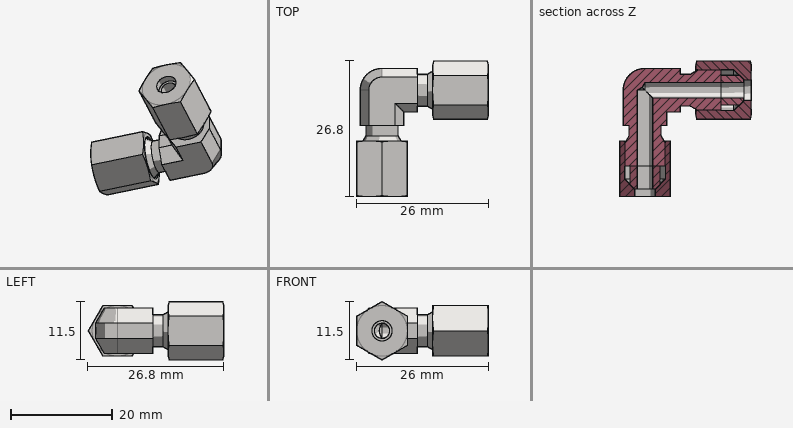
import cadquery as cq
import math


block_width = 8.66
block_height = 9.0
side_flat_height = 3.0
bevel_angle = 30.0
block_reach = 7.0

neck_diameter = 6.4
neck_end = 9.0
thread_diameter = 8.0
neck_cone_angle = 30.0
stub_end = 15.0
flow_bore_diameter = 3.0
drill_point_angle = 120.0

nut_start = 10.0
nut_length = 11.0
nut_across_flats = 10.0
nut_corner_angle = 15.0
nut_mouth_diameter = 8.5
nut_mouth_angle = 120.0
tube_hole_diameter = 4.0
tube_hole_depth = 1.5
nut_seat_angle = 45.0

ring_diameter = 6.0

nut_end = nut_start + nut_length
ring_end = nut_end - tube_hole_depth
thread_radius = thread_diameter / 2
nut_mouth_radius = nut_mouth_diameter / 2
neck_radius = neck_diameter / 2
flow_bore_radius = flow_bore_diameter / 2
tube_hole_radius = tube_hole_diameter / 2
ring_radius = ring_diameter / 2


def tan_deg(angle):
    return math.tan(math.radians(angle))


def revolve_about_leg(profile):
    """Turn a closed (radius, station) profile about the X leg's axis."""
    points = [(station, radius) for radius, station in profile]
    return cq.Workplane("XY").polyline(points).close().revolve(360, (0, 0, 0), (1, 0, 0))


def on_minus_y_leg(body):
    """Swing a body of the +X leg onto the -Y leg."""
    return body.rotate((0, 0, 0), (0, 0, 1), -90)


def make_block_section():
    """Corners of the block's bevelled section, square to the X leg: its right half, then all of it."""
    half_width = block_width / 2
    half_height = block_height / 2
    half_flat = side_flat_height / 2
    half_top = half_width - (half_height - half_flat) * tan_deg(bevel_angle)
    right_side = [
        (half_top, -half_height),
        (half_width, -half_flat),
        (half_width, half_flat),
        (half_top, half_height),
    ]
    left_side = [(-across, -up) for across, up in right_side]
    return right_side, right_side + left_side


def make_block():
    """Two bevelled legs joined by a rounded outer corner and a mitred inner corner."""
    half_section, full_section = make_block_section()
    leg = cq.Workplane("YZ").polyline(full_section).close().extrude(block_reach)
    corner_profile = [(0, -block_height / 2)] + half_section + [(0, block_height / 2)]
    corner = (
        cq.Workplane("YZ").polyline(corner_profile).close()
        .revolve(90, (0, 0, 0), (0, 1, 0))
    )
    return leg.union(on_minus_y_leg(leg)).union(corner)


def make_stub():
    """Solid neck, flaring cone and plain thread cylinder of the X leg."""
    cone_end = neck_end + (thread_radius - neck_radius) / tan_deg(neck_cone_angle)
    return revolve_about_leg([
        (0, 0),
        (neck_radius, 0),
        (neck_radius, neck_end),
        (thread_radius, cone_end),
        (thread_radius, stub_end),
        (0, stub_end),
    ])


def make_flow_bore():
    """Bore of one leg, with its drill point just past the crossing of the axes."""
    point_length = flow_bore_radius / tan_deg(drill_point_angle / 2)
    return revolve_about_leg([
        (0, -point_length),
        (flow_bore_radius, 0),
        (flow_bore_radius, stub_end),
        (0, stub_end),
    ])


def make_elbow():
    stub = make_stub()
    bore = make_flow_bore()
    outside = make_block().union(stub).union(on_minus_y_leg(stub))
    return outside.cut(bore).cut(on_minus_y_leg(bore))


def make_nut():
    """Hexagon nut for the X leg, corners bevelled at both ends, two corners pointing along Y."""
    corner_radius = nut_across_flats / math.sqrt(3)
    flat_radius = nut_across_flats / 2
    corner_drop = (corner_radius - flat_radius) * tan_deg(nut_corner_angle)
    hexagon = (
        cq.Workplane("YZ").workplane(offset=nut_start)
        .polygon(6, 2 * corner_radius).extrude(nut_length)
    )
    envelope = revolve_about_leg([
        (0, nut_start),
        (flat_radius, nut_start),
        (corner_radius, nut_start + corner_drop),
        (corner_radius, nut_end - corner_drop),
        (flat_radius, nut_end),
        (0, nut_end),
    ])
    seat_start = ring_end - (thread_radius - tube_hole_radius) / tan_deg(nut_seat_angle)
    mouth_depth = (nut_mouth_radius - thread_radius) / tan_deg(nut_mouth_angle / 2)
    opening = revolve_about_leg([
        (0, nut_start),
        (nut_mouth_radius, nut_start),
        (thread_radius, nut_start + mouth_depth),
        (thread_radius, seat_start),
        (tube_hole_radius, ring_end),
        (tube_hole_radius, nut_end),
        (0, nut_end),
    ])
    return hexagon.intersect(envelope).cut(opening)


def make_cutting_ring():
    """Ring between the stub's end face and the nut's conical seat, bored like the stub."""
    seat_contact = ring_end - (ring_radius - tube_hole_radius) / tan_deg(nut_seat_angle)
    return revolve_about_leg([
        (flow_bore_radius, stub_end),
        (ring_radius, stub_end),
        (ring_radius, seat_contact),
        (tube_hole_radius, ring_end),
        (flow_bore_radius, ring_end),
    ])


def roll_about_leg(body, angle):
    """Spin a body of the +X leg about that leg's axis."""
    return body.rotate((0, 0, 0), (1, 0, 0), angle)


elbow = make_elbow()
nut = make_nut()
cutting_ring = make_cutting_ring()

nuts = [nut, on_minus_y_leg(roll_about_leg(nut, 90))]
cutting_rings = [cutting_ring, on_minus_y_leg(cutting_ring)]

result = cq.Compound.makeCompound([body.val() for body in [elbow, *nuts, *cutting_rings]])